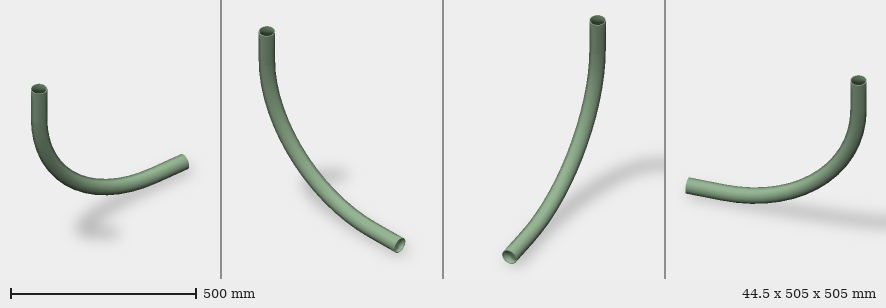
import cadquery as cq

overall_size = 505.0
outer_diameter = 44.5
bore_diameter = 40.5
straight_length = 101.0

centerline_reach = overall_size - outer_diameter / 2
bend_radius = centerline_reach - straight_length
half_size = overall_size / 2
leg_center = -half_size + outer_diameter / 2


def straight_end(plane):
    """Tube from an open end inward to the start of the bend."""
    return (
        cq.Workplane(plane)
        .circle(outer_diameter / 2)
        .circle(bore_diameter / 2)
        .extrude(straight_length)
    )


def bend(plane):
    """Quarter-turn tube, turning upward about an axis parallel to X."""
    return (
        cq.Workplane(plane)
        .circle(outer_diameter / 2)
        .circle(bore_diameter / 2)
        .revolve(90, (0, bend_radius, 0), (-1, bend_radius, 0))
    )


top_end = cq.Plane(origin=(0, leg_center, half_size), xDir=(1, 0, 0), normal=(0, 0, -1))
rear_end = cq.Plane(origin=(0, half_size, leg_center), xDir=(1, 0, 0), normal=(0, -1, 0))
bend_start = cq.Plane(
    origin=(0, half_size - straight_length, leg_center), xDir=(1, 0, 0), normal=(0, -1, 0)
)

result = straight_end(top_end).union(straight_end(rear_end)).union(bend(bend_start))